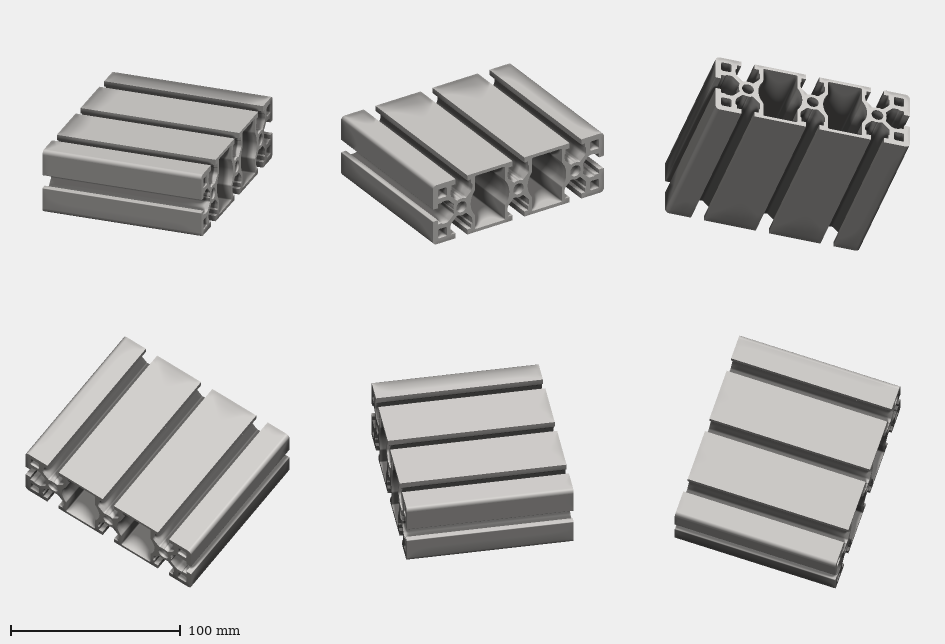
import cadquery as cq
import math

WIDTH = 120.0
CELL_COUNT = 3
CELL = WIDTH / CELL_COUNT
HALF_CELL = CELL / 2
LENGTH = 2.5 * CELL

OUTER_RADIUS = 2.5
CORE_HOLE_RADIUS = 3.6

LIP_THICKNESS = 3.5
MOUTH_HALF_WIDTH = 4.1
MOUTH_EDGE_RADIUS = 0.5
NECK_HALF_WIDTH = 6.8
NECK_BOTTOM = 13.9
POCKET_HALF_WIDTH = 7.5
POCKET_STEP = POCKET_HALF_WIDTH - NECK_HALF_WIDTH
FLANK_BOTTOM = (3.6, 5.5)
BEND_LENGTH = 1.3
CORE_RADIUS = 5.8
FLOOR_HALF_WIDTH = 2.5
GROOVE_HALF_WIDTH = 0.6
FLOOR_MIDDLE = (FLOOR_HALF_WIDTH + GROOVE_HALF_WIDTH) / 2
GROOVE_DEPTH = 0.4

CORNER_HOLE_SIZE = 6.2
CORNER_HOLE_RADIUS = 1.0

HOLLOW_WALL = 2.0
HOLLOW_HALF_HEIGHT = HALF_CELL - HOLLOW_WALL
HOLLOW_HALF_WIDTH = 10.5
HOLLOW_RADIUS = 0.8
BULGE_HALF_WIDTH = 13.5
BULGE_HALF_HEIGHT = 8.3
BULGE_BLEND_RADIUS = 1.8

SELECT_MARGIN = 0.1


def profile_plane():
    """YZ workplane at the start of the extrusion."""
    return cq.Workplane("YZ", origin=(-LENGTH / 2, 0, 0))


def near_mid_height(half_height):
    """Selector for edges no farther than half_height above or below the middle."""
    reach = half_height + SELECT_MARGIN
    return cq.selectors.BoxSelector((-LENGTH, -WIDTH, -reach), (LENGTH, WIDTH, reach))


def core_point(across):
    """Point on the round core of a cell, at a distance across from the slot centre line."""
    return (across, math.sqrt(CORE_RADIUS**2 - across**2))


def t_slot():
    """Slot opening towards +Z in a cell centred on the origin; one half is drawn and mirrored."""
    bend = FLANK_BOTTOM[1] + POCKET_HALF_WIDTH - FLANK_BOTTOM[0]
    bend_drop = BEND_LENGTH * math.sin(math.radians(45))
    flank_top = (POCKET_HALF_WIDTH - bend_drop, bend - bend_drop)
    half = (
        profile_plane()
        .moveTo(0, HALF_CELL)
        .lineTo(MOUTH_HALF_WIDTH, HALF_CELL)
        .lineTo(MOUTH_HALF_WIDTH, HALF_CELL - LIP_THICKNESS)
        .lineTo(NECK_HALF_WIDTH, HALF_CELL - LIP_THICKNESS)
        .lineTo(NECK_HALF_WIDTH, NECK_BOTTOM)
        .lineTo(POCKET_HALF_WIDTH, NECK_BOTTOM - POCKET_STEP)
        .lineTo(POCKET_HALF_WIDTH, bend + BEND_LENGTH)
        .tangentArcPoint(flank_top, relative=False)
        .lineTo(*FLANK_BOTTOM)
        .tangentArcPoint(core_point(FLOOR_HALF_WIDTH), relative=False)
        .threePointArc(core_point(FLOOR_MIDDLE), core_point(GROOVE_HALF_WIDTH))
        .lineTo(0, CORE_RADIUS - GROOVE_DEPTH)
        .close()
        .extrude(LENGTH)
    )
    return half.union(half.mirror("XZ"))


def hollow():
    """Hollow centred on the origin, with rounded corners and sides that bulge at mid height."""
    box = (
        profile_plane()
        .rect(2 * HOLLOW_HALF_WIDTH, 2 * HOLLOW_HALF_HEIGHT)
        .extrude(LENGTH)
        .edges("|X")
        .fillet(HOLLOW_RADIUS)
    )
    bulge = (
        profile_plane()
        .moveTo(HOLLOW_HALF_WIDTH, -BULGE_HALF_HEIGHT)
        .threePointArc((BULGE_HALF_WIDTH, 0), (HOLLOW_HALF_WIDTH, BULGE_HALF_HEIGHT))
        .lineTo(-HOLLOW_HALF_WIDTH, BULGE_HALF_HEIGHT)
        .threePointArc((-BULGE_HALF_WIDTH, 0), (-HOLLOW_HALF_WIDTH, -BULGE_HALF_HEIGHT))
        .close()
        .extrude(LENGTH)
    )
    bulge_ends = near_mid_height(BULGE_HALF_HEIGHT)
    return box.union(bulge).edges("|X").edges(bulge_ends).fillet(BULGE_BLEND_RADIUS)


def bar():
    """Solid bar with rounded long edges."""
    return profile_plane().rect(WIDTH, CELL).extrude(LENGTH).edges("|X").fillet(OUTER_RADIUS)


result = bar()

for angle, side in ((90, -1), (-90, 1)):
    slot = t_slot().rotate((0, 0, 0), (1, 0, 0), angle)
    result = result.cut(slot.translate((0, side * CELL, 0)))
mouth_edges = near_mid_height(MOUTH_HALF_WIDTH)
result = result.faces("<Y or >Y").edges("|X").edges(mouth_edges).fillet(MOUTH_EDGE_RADIUS)

for cell in (-1, 0, 1):
    slot = t_slot().translate((0, cell * CELL, 0))
    result = result.cut(slot).cut(slot.mirror("XY"))
core_holes = profile_plane().rarray(CELL, 1.2, CELL_COUNT, 1).circle(CORE_HOLE_RADIUS).extrude(LENGTH)
result = result.cut(core_holes)

for side in (-1, 1):
    result = result.cut(hollow().translate((0, side * HALF_CELL, 0)))

corner_inset = LIP_THICKNESS + CORNER_HOLE_SIZE / 2
corner_holes = (
    profile_plane()
    .rarray(WIDTH - 2 * corner_inset, CELL - 2 * corner_inset, 2, 2)
    .rect(CORNER_HOLE_SIZE, CORNER_HOLE_SIZE)
    .extrude(LENGTH)
    .edges("|X")
    .fillet(CORNER_HOLE_RADIUS)
)
result = result.cut(corner_holes)